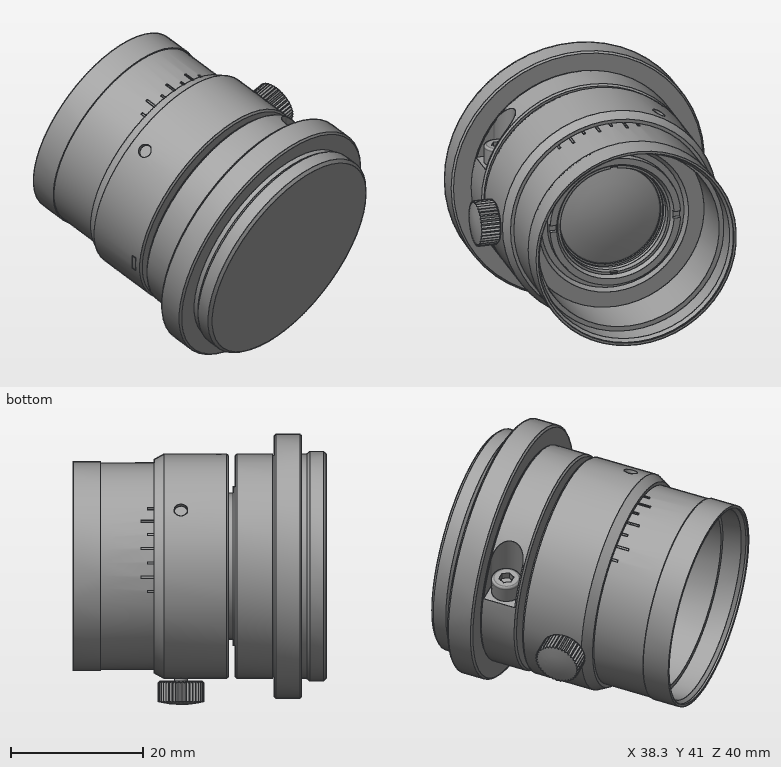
import cadquery as cq
import math


LENGTH = 38.28
WIDTH = 40.95
RIM_END = 4.15
COLLAR_START = 12.25
COLLAR_TAPER_END = 13.75
COLLAR_END = 23.5
STEP_START = 24.2
CLAMP_START = 24.5
CLAMP_END = 30.17
FLANGE_START = 30.38
FLANGE_END = 34.55
REAR_START = 35.35

RIM_R = 31.65 / 2
NECK_R = 15.65
COLLAR_FRONT_R = 16.17
COLLAR_R = 17.0
GAP_R = 11.1
STEP_R = 12.05
CLAMP_R = COLLAR_R
GROOVE_R = COLLAR_R
RELIEF_R = 16.8
FLANGE_R = 40.0 / 2
REAR_R = 17.4
EDGE_CHAMFER = 0.3
REAR_CHAMFER = 0.45

MOUTH_R = 15.45
MOUTH_DEPTH = 0.33
FRONT_BORE_R = 15.02
MOUTH_TAPER_END = 0.9
BORE_STEP_X = 3.95
MAIN_BORE_R = 14.3
FLOOR_X = 11.87
MOAT_OUTER_R = 11.85
MOAT_FLOOR_X = 12.35
MOAT_FLOOR_R = 22.5 / 2
RETAINER_FRONT_X = 10.95
RETAINER_OUTER_R = 10.3
RETAINER_INNER_R = 9.3
INNER_RING_X = 11.63
INNER_RING_R = 8.9
INNER_RING_BORE_R = 17.0 / 2
BORE_TAPER_START = 12.77
BORE_TAPER_END = 13.15
LENS_BORE_R = 16.6 / 2
LENS_STOP_X = 13.65
LENS_STOP_R = 16.0 / 2
LENS_EDGE_X = 14.05
LENS_EDGE_R = 7.9
LENS_APEX_X = 12.7

SPANNER_SLOT_WIDTH = 1.05
SPANNER_SLOT_DEPTH = 0.65
SPANNER_SLOT_INNER_R = 9.17
NOTCH_WIDTH = 1.1
NOTCH_OUTER_R = 17.5 / 2
NOTCH_DEPTH = 0.4

LOCK_X = 16.3
LOCK_HOLE_D = 2.05
LOCK_HOLE_DEPTH = 0.65
LOCK_COUNT = 3
PIN_R = 2.0 / 2
PIN_OVERLAP = 0.6
KNOB_R = 3.5
KNOB_BOTTOM = 17.4
KNOB_SHOULDER = 20.45
KNOB_TOP = WIDTH - FLANGE_R
KNOB_CHAMFER = 0.3
KNURL_COUNT = 36
KNURL_DEPTH = 0.25

CLAMP_SCREW_X = 27.5
CLAMP_SCREW_Y = 13.43
CLAMP_SEAT_Z = 4.87
CLAMP_HEAD_R = 2.25
CLAMP_HEAD_TOP = 7.7
CLAMP_HEAD_ROUND = 0.35
CLAMP_POCKET_R = 2.55
HEX_CORNERS = 2.25
HEX_DEPTH = 1.02

MARK_DEPTH = 0.1
TICK_WIDTH = 0.33
TICK_SHORT = 1.0
TICK_LONG = 2.0
TICK_COUNT = 7
TICK_FIRST_ANGLE = 33.8
TICK_PITCH = 8.0
INDEX_X = 22.0
INDEX_LENGTH = 0.7
INDEX_WIDTH = 3.0


def box_between(x0, x1, y0, y1, z0, z1):
    return cq.Workplane("XY").box(x1 - x0, y1 - y0, z1 - z0, centered=False).translate((x0, y0, z0))


def about_axis(shape, angle):
    return shape.rotate((0, 0, 0), (1, 0, 0), angle)


def barrel():
    """Revolve the complete wall section, with the convex lens as the cavity's end."""
    outer = [
        (0, RIM_R),
        (RIM_END, RIM_R),
        (RIM_END, NECK_R),
        (COLLAR_START, NECK_R),
        (COLLAR_START, COLLAR_FRONT_R),
        (COLLAR_TAPER_END, COLLAR_R),
        (COLLAR_END - EDGE_CHAMFER, COLLAR_R),
        (COLLAR_END, COLLAR_R - EDGE_CHAMFER),
        (COLLAR_END, GAP_R),
        (STEP_START, GAP_R),
        (STEP_START, STEP_R),
        (CLAMP_START, STEP_R),
        (CLAMP_START, CLAMP_R - EDGE_CHAMFER),
        (CLAMP_START + EDGE_CHAMFER, CLAMP_R),
        (CLAMP_END, CLAMP_R),
        (CLAMP_END, RELIEF_R),
        (FLANGE_START, RELIEF_R),
        (FLANGE_START, FLANGE_R - EDGE_CHAMFER),
        (FLANGE_START + EDGE_CHAMFER, FLANGE_R),
        (FLANGE_END - EDGE_CHAMFER, FLANGE_R),
        (FLANGE_END, FLANGE_R - EDGE_CHAMFER),
        (FLANGE_END, GROOVE_R),
        (REAR_START, GROOVE_R),
        (REAR_START + REAR_CHAMFER, REAR_R),
        (LENGTH - REAR_CHAMFER, REAR_R),
        (LENGTH, REAR_R - REAR_CHAMFER),
        (LENGTH, 0),
        (LENS_APEX_X, 0),
    ]
    cavity = [
        (LENS_EDGE_X, LENS_STOP_R),
        (LENS_STOP_X, LENS_STOP_R),
        (LENS_STOP_X, LENS_BORE_R),
        (BORE_TAPER_END, LENS_BORE_R),
        (BORE_TAPER_START, INNER_RING_BORE_R),
        (INNER_RING_X, INNER_RING_BORE_R),
        (INNER_RING_X, INNER_RING_R),
        (RETAINER_FRONT_X, RETAINER_INNER_R),
        (RETAINER_FRONT_X, RETAINER_OUTER_R),
        (MOAT_FLOOR_X, RETAINER_OUTER_R),
        (MOAT_FLOOR_X, MOAT_FLOOR_R),
        (FLOOR_X, MOAT_OUTER_R),
        (FLOOR_X, MAIN_BORE_R),
        (BORE_STEP_X, MAIN_BORE_R),
        (BORE_STEP_X, FRONT_BORE_R),
        (MOUTH_TAPER_END, FRONT_BORE_R),
        (MOUTH_DEPTH, MOUTH_R),
        (0, MOUTH_R),
    ]
    sag = LENS_EDGE_X - LENS_APEX_X
    sphere_r = (LENS_EDGE_R**2 + sag**2) / (2 * sag)
    mid_r = LENS_EDGE_R / 2
    mid_x = LENS_APEX_X + sphere_r - math.sqrt(sphere_r**2 - mid_r**2)
    section = cq.Workplane("XY").polyline(outer).threePointArc((mid_x, mid_r), (LENS_EDGE_X, LENS_EDGE_R))
    for point in cavity:
        section = section.lineTo(*point)
    return section.close().revolve(360, (0, 0, 0), (1, 0, 0))


def spanner_slots():
    """Slots at +Y and -Y of the retaining ring, and notches at +Z and -Z of the inner ring."""
    half_slot = SPANNER_SLOT_WIDTH / 2
    half_notch = NOTCH_WIDTH / 2
    slot = box_between(
        RETAINER_FRONT_X, RETAINER_FRONT_X + SPANNER_SLOT_DEPTH,
        SPANNER_SLOT_INNER_R, RETAINER_OUTER_R,
        -half_slot, half_slot,
    )
    notch = box_between(
        INNER_RING_X, INNER_RING_X + NOTCH_DEPTH,
        -half_notch, half_notch,
        LENS_BORE_R, NOTCH_OUTER_R,
    )
    cutters = slot.add(about_axis(slot, 180))
    return cutters.add(notch).add(about_axis(notch, 180))


def locking_holes():
    """Radial holes sharing the locking screw's circle, the screw itself taking the +Y place."""
    hole = (
        cq.Workplane("XZ", origin=(LOCK_X, COLLAR_R, 0))
        .circle(LOCK_HOLE_D / 2)
        .extrude(LOCK_HOLE_DEPTH)
    )
    cutters = cq.Workplane("XY")
    for i in range(1, LOCK_COUNT):
        cutters = cutters.add(about_axis(hole, i * 360 / LOCK_COUNT))
    return cutters


def knurled_knob():
    """Knob with a domed top on a plain pin; its axis is Y."""
    profile = (
        cq.Workplane("XY")
        .moveTo(0, KNOB_BOTTOM)
        .lineTo(KNOB_R - KNOB_CHAMFER, KNOB_BOTTOM)
        .lineTo(KNOB_R, KNOB_BOTTOM + KNOB_CHAMFER)
        .lineTo(KNOB_R, KNOB_SHOULDER)
    )
    rise = KNOB_TOP - KNOB_SHOULDER
    dome_r = (KNOB_R**2 + rise**2) / (2 * rise)
    mid_r = KNOB_R / 2
    mid_y = KNOB_TOP - dome_r + math.sqrt(dome_r**2 - mid_r**2)
    blank = profile.threePointArc((mid_r, mid_y), (0, KNOB_TOP)).close()
    blank = blank.revolve(360, (0, 0, 0), (0, 1, 0))
    teeth = []
    for i in range(2 * KNURL_COUNT):
        radius = KNOB_R - KNURL_DEPTH * (i % 2)
        angle = math.pi * i / KNURL_COUNT
        teeth.append((radius * math.cos(angle), radius * math.sin(angle)))
    knurl = (
        cq.Workplane("XZ", origin=(0, KNOB_TOP, 0))
        .polyline(teeth)
        .close()
        .extrude(KNOB_TOP - KNOB_BOTTOM)
    )
    pin_top = KNOB_BOTTOM + PIN_OVERLAP
    pin_root = COLLAR_R - PIN_OVERLAP
    pin = cq.Workplane("XZ", origin=(0, pin_top, 0)).circle(PIN_R).extrude(pin_top - pin_root)
    return blank.intersect(knurl).union(pin).translate((LOCK_X, 0, 0))


def clamp_pocket():
    """Flat-bottomed pocket, round at its inner end and open toward +Y."""
    height = CLAMP_R - CLAMP_SEAT_Z
    base = cq.Workplane("XY", origin=(CLAMP_SCREW_X, CLAMP_SCREW_Y, CLAMP_SEAT_Z))
    reach = CLAMP_R - CLAMP_SCREW_Y
    round_end = base.circle(CLAMP_POCKET_R).extrude(height)
    return round_end.union(base.center(0, reach / 2).rect(2 * CLAMP_POCKET_R, reach).extrude(height))


def clamp_screw():
    """Cap head with a rounded top edge and a hexagon socket."""
    head = (
        cq.Workplane("XY", origin=(CLAMP_SCREW_X, CLAMP_SCREW_Y, CLAMP_SEAT_Z))
        .circle(CLAMP_HEAD_R)
        .extrude(CLAMP_HEAD_TOP - CLAMP_SEAT_Z)
        .faces(">Z")
        .edges()
        .fillet(CLAMP_HEAD_ROUND)
    )
    socket = (
        cq.Workplane("XY", origin=(CLAMP_SCREW_X, CLAMP_SCREW_Y, CLAMP_HEAD_TOP - HEX_DEPTH))
        .transformed(rotate=(0, 0, 90))
        .polygon(6, HEX_CORNERS)
        .extrude(HEX_DEPTH)
    )
    return head.cut(socket)


def engraved_marks():
    """Two opposite scales of alternating ticks on the neck, and an index mark on the collar."""
    cutters = cq.Workplane("XY")
    for i in range(TICK_COUNT):
        length = TICK_LONG if i % 2 else TICK_SHORT
        tick = box_between(
            COLLAR_START - length, COLLAR_START,
            -TICK_WIDTH / 2, TICK_WIDTH / 2,
            NECK_R - MARK_DEPTH, NECK_R + MARK_DEPTH,
        )
        angle = i * TICK_PITCH - TICK_FIRST_ANGLE
        for side in (0, 180):
            cutters = cutters.add(about_axis(tick, angle + side))
    half_width = INDEX_WIDTH / 2
    ring = (
        cq.Workplane("YZ", origin=(INDEX_X - INDEX_LENGTH / 2, 0, 0))
        .circle(COLLAR_R + MARK_DEPTH)
        .circle(COLLAR_R - MARK_DEPTH)
        .extrude(INDEX_LENGTH)
    )
    window = box_between(0, LENGTH, -FLANGE_R, 0, -half_width, half_width)
    return cutters.add(ring.intersect(window))


result = barrel()
for cutters in (spanner_slots(), locking_holes(), clamp_pocket(), engraved_marks()):
    for cutter in cutters.vals():
        result = result.cut(cq.Workplane(cutter))
result = result.union(knurled_knob()).union(clamp_screw())